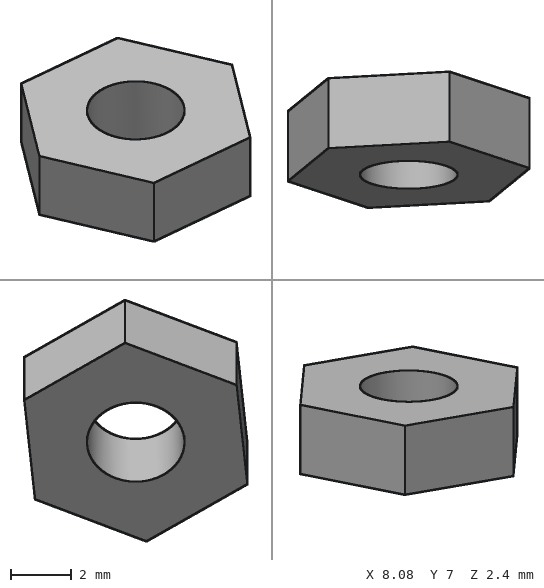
import cadquery as cq

across_corners = 8.08
thickness = 2.4
bore_diameter = 3.2

body = cq.Workplane("XY").polygon(6, across_corners).extrude(thickness)

result = body.faces(">Z").workplane().hole(bore_diameter)